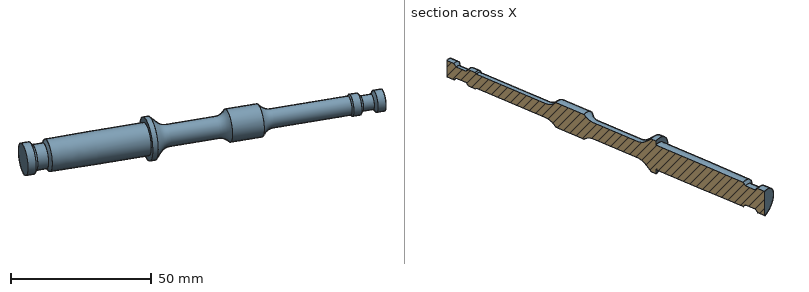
import cadquery as cq
import math

length = 134.0
back_end = length / 2
front_end = -back_end

head_radius = 4.0
rod_radius = 3.5
shank_radius = 4.0
body_radius = 6.0
tapered_radius = 5.9
flange_radius = 7.97

end_disc_width = 3.02
groove_width = 6.0
groove_depth = 1.2
groove_flank = 1.0

collar_width = 3.0
collar_start = back_end - end_disc_width - groove_width
collar_end = collar_start - collar_width
collar_chamfer = head_radius - rod_radius
rod_fillet_start = 25.6
shank_back = 5.1
shank_front = -13.1
flange_width = 2.0
taper_start = -41.0
taper_end = -55.1

shoulder_fillet = 5.0
half_turn = math.radians(22.5)
full_turn = math.radians(45)


def fillet_point(shaft_radius, start, direction, turn):
    """Point on a shoulder fillet after turning from the shaft direction."""
    radius = shaft_radius + shoulder_fillet * (1 - math.cos(turn))
    return (radius, start + direction * shoulder_fillet * math.sin(turn))


def shoulder(shaft_radius, start, direction, top_radius):
    """Middle and end of the fillet, then the top of the 45 degree cone."""
    middle = fillet_point(shaft_radius, start, direction, half_turn)
    end = fillet_point(shaft_radius, start, direction, full_turn)
    top = (top_radius, end[1] + direction * (top_radius - end[0]))
    return middle, end, top


def groove(radius, start):
    """Outline of a groove that runs from start towards -Y."""
    floor = radius - groove_depth
    end = start - groove_width
    return [
        (radius, start),
        (floor, start - groove_flank),
        (floor, end + groove_flank),
        (radius, end),
    ]


rod_middle, rod_end, rod_top = shoulder(rod_radius, rod_fillet_start, -1, body_radius)
back_middle, back_end_of_fillet, back_top = shoulder(shank_radius, shank_back, 1, body_radius)
front_middle, front_end_of_fillet, front_top = shoulder(shank_radius, shank_front, -1, flange_radius)
flange_face = front_top[1] - flange_width

profile = cq.Workplane("XY").moveTo(0, back_end).lineTo(head_radius, back_end)
for point in groove(head_radius, back_end - end_disc_width):
    profile = profile.lineTo(*point)
profile = (
    profile
    .lineTo(head_radius, collar_end)
    .lineTo(rod_radius, collar_end - collar_chamfer)
    .lineTo(rod_radius, rod_fillet_start)
    .threePointArc(rod_middle, rod_end)
    .lineTo(*rod_top)
    .lineTo(*back_top)
    .lineTo(*back_end_of_fillet)
    .threePointArc(back_middle, (shank_radius, shank_back))
    .lineTo(shank_radius, shank_front)
    .threePointArc(front_middle, front_end_of_fillet)
    .lineTo(*front_top)
    .lineTo(flange_radius, flange_face)
    .lineTo(body_radius, flange_face)
    .lineTo(body_radius, taper_start)
    .lineTo(tapered_radius, taper_end)
)
for point in groove(tapered_radius, front_end + end_disc_width + groove_width):
    profile = profile.lineTo(*point)
profile = profile.lineTo(tapered_radius, front_end).lineTo(0, front_end).close()

result = profile.revolve(360, (0, 0, 0), (0, 1, 0))